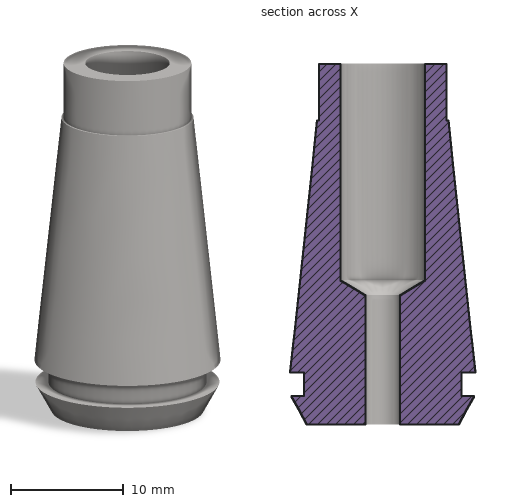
import cadquery as cq

total_height = 32.0
flange_height = 2.55
groove_top = 4.6
body_top = 26.98

flange_bottom_radius = 6.75
flange_top_radius = 8.15
groove_radius = 7.0
body_bottom_radius = 8.25
body_top_radius = 5.85
neck_radius = 5.65

bore_radius = 3.75
hole_radius = 1.5
bore_depth = 19.2
bore_floor_slope = 0.6
bore_cone_top = total_height - bore_depth
bore_cone_bottom = bore_cone_top - (bore_radius - hole_radius) * bore_floor_slope

half_section = [
    (hole_radius, 0),
    (flange_bottom_radius, 0),
    (flange_top_radius, flange_height),
    (groove_radius, flange_height),
    (groove_radius, groove_top),
    (body_bottom_radius, groove_top),
    (body_top_radius, body_top),
    (neck_radius, body_top),
    (neck_radius, total_height),
    (bore_radius, total_height),
    (bore_radius, bore_cone_top),
    (hole_radius, bore_cone_bottom),
]

result = cq.Workplane("XZ").polyline(half_section).close().revolve(360, (0, 0), (0, 1))